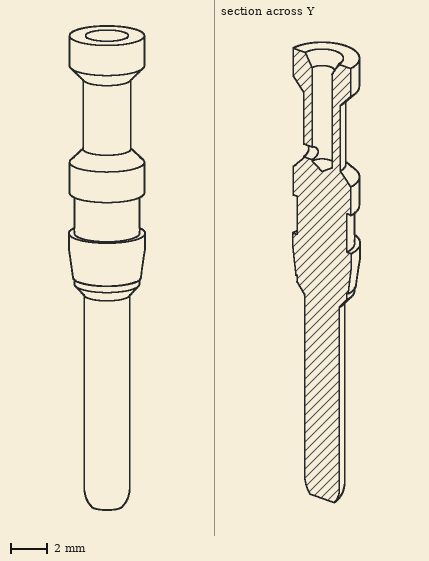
import cadquery as cq
import math

length = 26.75

flange_radius = 2.1
collar_radius = 2.05
taper_end_radius = 1.87
groove_radius = 1.8
neck_radius = 1.3
pin_radius = 1.25
tip_radius = 0.85

tip_height = 1.0
pin_top = 12.0
band_bottom = 12.63
taper_bottom = 13.0
flange_bottom = 14.65
flange_top = 15.52
collar_bottom = 17.82
collar_top = 19.55
neck_bottom = 20.3
neck_top = 24.25
head_bottom = 25.05

bore_radius = 0.7
funnel_radius = 1.18
funnel_depth = 0.78
bore_bottom = 20.3
drill_point_angle = 118.0

inspection_radius = 0.37
inspection_height = 20.75


def make_body():
    """Revolve the outside profile, including the rounded pin tip."""
    tip_inset = pin_radius - tip_radius
    arc_radius = (tip_inset**2 + tip_height**2) / (2 * tip_inset)
    half_sweep = math.asin(tip_height / arc_radius) / 2
    arc_middle = (
        pin_radius - arc_radius * (1 - math.cos(half_sweep)),
        tip_height - arc_radius * math.sin(half_sweep),
    )
    return (
        cq.Workplane("XZ")
        .lineTo(tip_radius, 0)
        .threePointArc(arc_middle, (pin_radius, tip_height))
        .lineTo(pin_radius, pin_top)
        .lineTo(groove_radius, band_bottom)
        .lineTo(groove_radius, taper_bottom)
        .lineTo(taper_end_radius, taper_bottom)
        .lineTo(flange_radius, flange_bottom)
        .lineTo(flange_radius, flange_top)
        .lineTo(groove_radius, flange_top)
        .lineTo(groove_radius, collar_bottom)
        .lineTo(collar_radius, collar_bottom)
        .lineTo(collar_radius, collar_top)
        .lineTo(neck_radius, neck_bottom)
        .lineTo(neck_radius, neck_top)
        .lineTo(collar_radius, head_bottom)
        .lineTo(collar_radius, length)
        .lineTo(0, length)
        .close()
        .revolve(360, (0, 0), (0, 1))
    )


def make_bore():
    """Revolve the funnel, bore and conical floor."""
    point_depth = bore_radius / math.tan(math.radians(drill_point_angle / 2))
    return (
        cq.Workplane("XZ")
        .moveTo(0, bore_bottom - point_depth)
        .lineTo(bore_radius, bore_bottom)
        .lineTo(bore_radius, length - funnel_depth)
        .lineTo(funnel_radius, length)
        .lineTo(0, length)
        .close()
        .revolve(360, (0, 0), (0, 1))
    )


def make_inspection_hole():
    """Drill from outside the collar on -X to the bore axis."""
    return (
        cq.Workplane("YZ", origin=(-collar_radius, 0, 0))
        .center(0, inspection_height)
        .circle(inspection_radius)
        .extrude(collar_radius)
    )


result = make_body().cut(make_bore()).cut(make_inspection_hole())